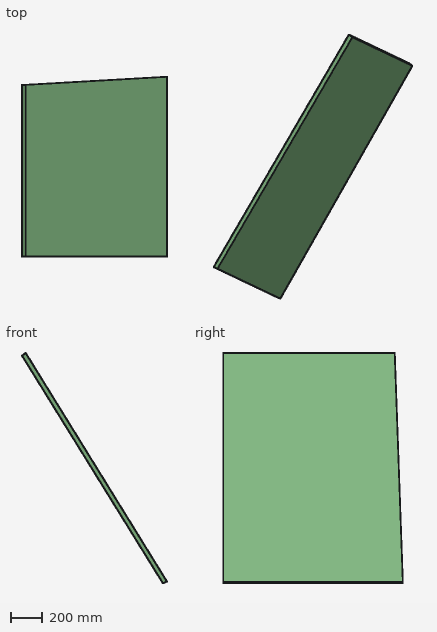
import cadquery as cq

size_x = 935.0
size_y = 1159.0
size_z = 1486.0

upper_end_run = 24.0
upper_end_rise = 20.0
lower_end_run = 27.0
lower_end_rise = 12.0

upper_width = 1105.0

side_profile = [
    (0, size_z - upper_end_rise),
    (upper_end_run, size_z),
    (size_x, lower_end_rise),
    (size_x - lower_end_run, 0),
]
slab = cq.Workplane("XZ").polyline(side_profile).close().extrude(-size_y)

plan_outline = [(0, 0), (size_x, 0), (size_x, size_y), (0, upper_width)]
plan_prism = cq.Workplane("XY").polyline(plan_outline).close().extrude(size_z)

panel = slab.intersect(plan_prism)
result = panel.translate((-size_x / 2, -size_y / 2, -size_z / 2))